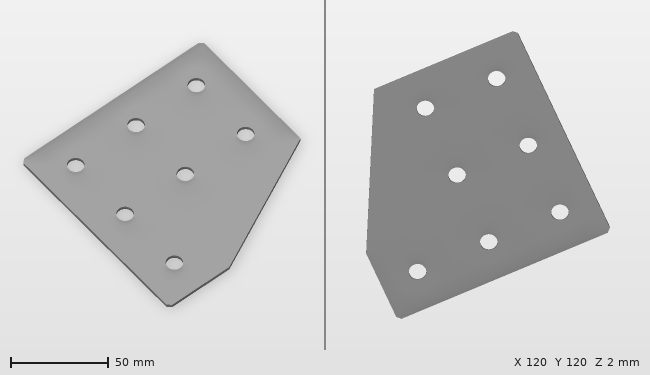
import cadquery as cq

side = 120.0
thickness = 2.0
hole_diameter = 9.0
corner_chamfer = 2.0

cells = 3
pitch = side / cells


def plate():
    """Square plate with its +X +Y corner cut off along a sloping edge."""
    outline = [
        (0, 0),
        (side, 0),
        (side, pitch),
        (side - pitch, side),
        (0, side),
    ]
    body = cq.Workplane("XY").polyline(outline).close().extrude(thickness)
    square_corners = [(0, 0), (side, 0), (0, side)]
    for corner in square_corners:
        edge = cq.selectors.NearestToPointSelector((*corner, thickness / 2))
        body = body.edges("|Z").edges(edge).chamfer(corner_chamfer)
    return body


def hole_centers():
    """Cell centers, leaving out the two cells crossed by the sloping edge."""
    return [
        ((column + 0.5) * pitch, (row + 0.5) * pitch)
        for column in range(cells)
        for row in range(cells)
        if column < cells - 1 or row == 0
    ]


result = plate().faces(">Z").workplane(origin=(0, 0, 0)).pushPoints(hole_centers()).hole(hole_diameter)